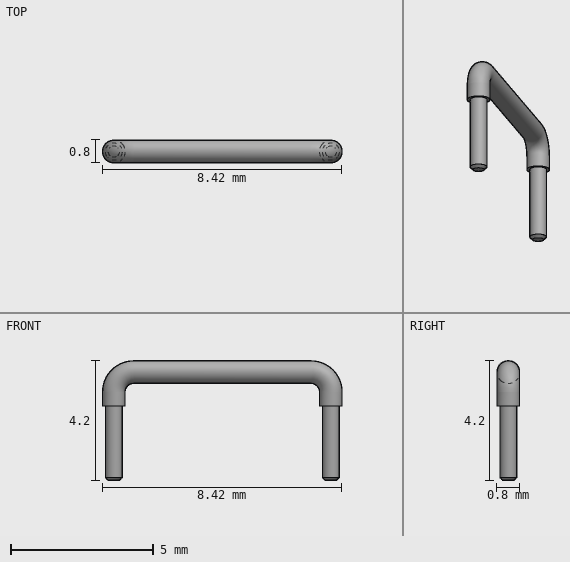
import cadquery as cq

overall_length = 8.42
overall_height = 4.2

sleeve_diameter = 0.8
bend_radius = 0.7
collar_length = 0.5

pin_diameter = 0.6
tip_chamfer = 0.1

leg_x = (overall_length - sleeve_diameter) / 2
bar_z = overall_height - sleeve_diameter / 2
bend_x = leg_x - bend_radius
bend_z = bar_z - bend_radius
shoulder_z = bend_z - collar_length


def make_sleeve():
    """Sweep a disc up one leg, along the bar and down the other leg."""
    path = (
        cq.Workplane("XZ")
        .moveTo(-leg_x, shoulder_z)
        .lineTo(-leg_x, bend_z)
        .tangentArcPoint((-bend_x, bar_z), relative=False)
        .lineTo(bend_x, bar_z)
        .tangentArcPoint((leg_x, bend_z), relative=False)
        .lineTo(leg_x, shoulder_z)
    )
    return (
        cq.Workplane("XY", origin=(-leg_x, 0, shoulder_z))
        .circle(sleeve_diameter / 2)
        .sweep(path)
    )


def make_pin(x):
    """Straight pin from its chamfered tip up to the sleeve's end face."""
    return (
        cq.Workplane("XY", origin=(x, 0, 0))
        .circle(pin_diameter / 2)
        .extrude(shoulder_z)
        .faces("<Z")
        .chamfer(tip_chamfer)
    )


sleeve = make_sleeve()
pins = [make_pin(x).val() for x in (-leg_x, leg_x)]

result = cq.Compound.makeCompound([sleeve.val(), *pins])